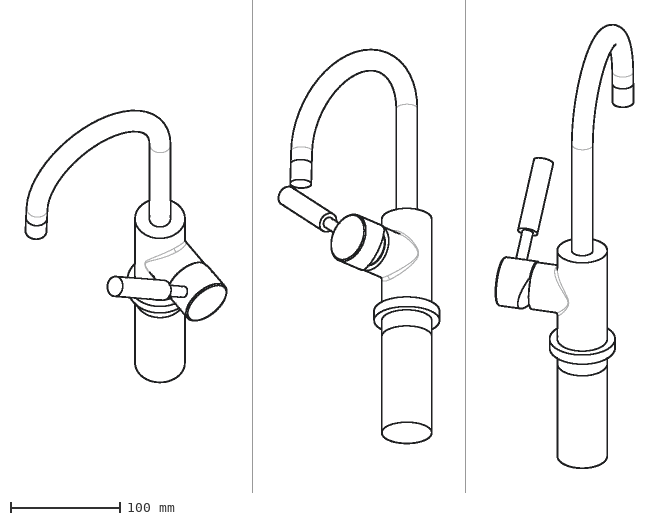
import cadquery as cq
import math

column_diameter = 46.0
column_radius = column_diameter / 2
shank_height = 97.5
body_top = 216.5
flange_diameter = 60.0
flange_bottom = 114.0
flange_thickness = 9.8

arm_height = 172.5
arm_diameter = 43.5
arm_radius = arm_diameter / 2
arm_end = 45.0
arm_blend_radius = 3.0

knob_gap = 1.0
knob_neck_radius = 17.0
knob_start = arm_end + knob_gap
knob_end = 77.0
knob_diameter = 45.0
knob_radius = knob_diameter / 2
knob_end_chamfer = 1.2
relief_length = 10.0
relief_depth = 21.5

lever_x = 63.0
lever_tilt = 40.0
rod_diameter = 10.0
rod_start = 14.2
grip_diameter = 18.3
grip_start = 51.0
grip_length = 70.0

tube_diameter = 19.5
tube_radius = tube_diameter / 2
overall_height = 406.5
bend_span = 136.0
bend_radius = bend_span / 2
bend_centre_z = overall_height - tube_radius - bend_radius
outlet_splay = 2.0
outlet_straight = 13.0
aerator_length = 20.0


def cylinder_z(diameter, bottom, height):
    return cq.Workplane("XY").workplane(offset=bottom).circle(diameter / 2).extrude(height)


def cylinder_x(radius, start, end):
    plane = cq.Plane(origin=(start, 0, arm_height), xDir=(0, 1, 0), normal=(1, 0, 0))
    return cq.Workplane(plane).circle(radius).extrude(end - start)


def lever_cylinder(diameter, start, length):
    """Cylinder along the lever axis, starting at a distance from the knob axis."""
    tilt = math.radians(lever_tilt)
    direction = cq.Vector(0, -math.cos(tilt), math.sin(tilt))
    base = cq.Vector(lever_x, 0, arm_height) + direction * start
    plane = cq.Plane(origin=base, xDir=(1, 0, 0), normal=direction)
    return cq.Workplane(plane).circle(diameter / 2).extrude(length)


def make_shank():
    return cylinder_z(column_diameter, 0, shank_height)


def make_body():
    column = cylinder_z(column_diameter, shank_height, body_top - shank_height)
    body = column.union(cylinder_x(arm_radius, 0, arm_end))
    joint_box = cq.selectors.BoxSelector(
        (0, -column_radius, arm_height - column_radius),
        (arm_end - knob_gap, column_radius, arm_height + column_radius),
        boundingbox=True,
    )
    return body.edges(joint_box).edges("not #Z").edges("not |X").fillet(arm_blend_radius)


def make_flange():
    flange = cylinder_z(flange_diameter, flange_bottom, flange_thickness)
    return flange.cut(cylinder_z(column_diameter, flange_bottom, flange_thickness))


def make_knob():
    knob = cylinder_x(knob_radius, knob_start, knob_end).faces(">X").chamfer(knob_end_chamfer)
    relief = (
        cq.Workplane("XY")
        .moveTo(knob_start, knob_radius - relief_depth)
        .lineTo(knob_start + relief_length, knob_radius)
        .lineTo(knob_start, knob_radius)
        .close()
        .extrude(knob_radius, both=True)
        .rotate((0, 0, 0), (1, 0, 0), -lever_tilt)
        .translate((0, 0, arm_height))
    )
    neck = cylinder_x(knob_neck_radius, arm_end, knob_start)
    socket = lever_cylinder(rod_diameter, rod_start, grip_start - rod_start)
    return knob.union(neck).cut(relief).cut(socket)


def make_lever():
    rod = lever_cylinder(rod_diameter, rod_start, grip_start - rod_start)
    return rod.union(lever_cylinder(grip_diameter, grip_start, grip_length))


def outlet_point(distance):
    """Centreline (y, z) at a distance past the end of the bend."""
    splay = math.radians(outlet_splay)
    y = -bend_radius * (1 + math.cos(splay)) - distance * math.sin(splay)
    z = bend_centre_z + bend_radius * math.sin(splay) - distance * math.cos(splay)
    return y, z


def make_spout():
    path = (
        cq.Workplane("YZ")
        .moveTo(0, body_top)
        .lineTo(0, bend_centre_z)
        .threePointArc((-bend_radius, bend_centre_z + bend_radius), outlet_point(0))
        .lineTo(*outlet_point(outlet_straight))
    )
    return cq.Workplane("XY").workplane(offset=body_top).circle(tube_radius).sweep(path)


def make_aerator():
    splay = math.radians(outlet_splay)
    plane = cq.Plane(
        origin=(0, *outlet_point(outlet_straight)),
        xDir=(1, 0, 0),
        normal=(0, -math.sin(splay), -math.cos(splay)),
    )
    return cq.Workplane(plane).circle(tube_radius).extrude(aerator_length)


shank = make_shank()
body = make_body()
flange = make_flange()
knob = make_knob()
lever = make_lever()
spout = make_spout()
aerator = make_aerator()

result = cq.Compound.makeCompound(
    [shank.val(), body.val(), flange.val(), knob.val(), lever.val(), spout.val(), aerator.val()]
)